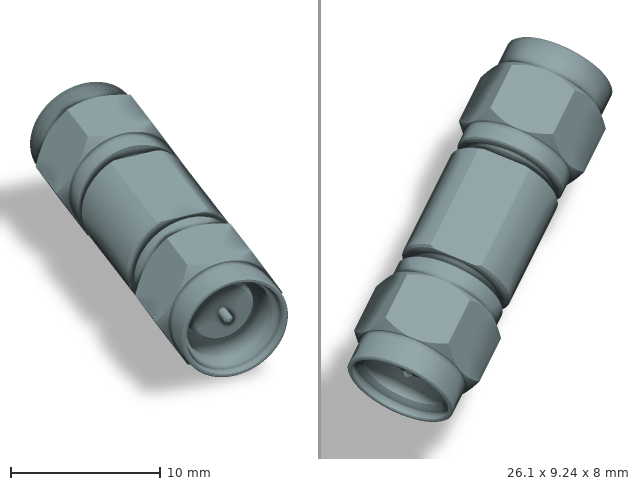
import cadquery as cq
import math


TOTAL_LENGTH = 26.15
HALF_LENGTH = TOTAL_LENGTH / 2

NUT_LENGTH = 8.3
NUT_DIAMETER = 7.77
NUT_EDGE_CHAMFER = 0.1
HEX_ACROSS_FLATS = 8.0
HEX_ACROSS_CORNERS = HEX_ACROSS_FLATS / math.cos(math.pi / 6)
HEX_START = 2.17
HEX_LENGTH = 4.75

MOUTH_RADIUS = 3.53
MOUTH_CHAMFER = 0.08
MOUTH_DEPTH = 0.6
BORE_RADIUS = 3.15
BORE_TAPER_LENGTH = MOUTH_RADIUS - BORE_RADIUS
BORE_DEPTH = 5.23

PLUG_RADIUS = 2.35
PLUG_CHAMFER = 0.24
PLUG_FACE_DEPTH = 2.25
PIN_RADIUS = 0.31
PIN_CHAMFER = 0.18
PIN_TIP_DEPTH = 1.05

BARREL_LENGTH = 8.1
BARREL_RADIUS = 3.97
BARREL_CHAMFER = 0.15
BARREL_ACROSS_FLATS = 7.0
GAP = HALF_LENGTH - NUT_LENGTH - BARREL_LENGTH / 2

NECK_RADIUS = 3.15
COLLAR_RADIUS = 3.22
COLLAR_RIM_LENGTH = 0.18
COLLAR_TAPER_LENGTH = GAP - COLLAR_RIM_LENGTH


def cylinder(start, length, radius):
    """Round bar along +X that begins at x = start."""
    return cq.Workplane("YZ").workplane(offset=start).circle(radius).extrude(length)


def revolve_profile(points):
    """Solid of revolution about the X axis from an (x, radius) outline."""
    return cq.Workplane("XY").polyline(points).close().revolve(360, (0, 0, 0), (1, 0, 0))


def hexagon():
    """Hexagonal grip with corners on +Y and -Y, both ends bevelled at 45 degrees."""
    prism = (
        cq.Workplane("YZ")
        .workplane(offset=HEX_START)
        .polygon(6, HEX_ACROSS_CORNERS)
        .extrude(HEX_LENGTH)
    )
    bevel = (HEX_ACROSS_CORNERS - HEX_ACROSS_FLATS) / 2
    envelope = cylinder(HEX_START, HEX_LENGTH, HEX_ACROSS_CORNERS / 2).edges().chamfer(bevel)
    return prism.intersect(envelope)


def socket():
    """Space inside the nut: chamfered mouth, taper and bore."""
    taper_end = MOUTH_DEPTH + BORE_TAPER_LENGTH
    return revolve_profile([
        (0, 0),
        (0, MOUTH_RADIUS + MOUTH_CHAMFER),
        (MOUTH_CHAMFER, MOUTH_RADIUS),
        (MOUTH_DEPTH, MOUTH_RADIUS),
        (taper_end, BORE_RADIUS),
        (BORE_DEPTH, BORE_RADIUS),
        (BORE_DEPTH, 0),
    ])


def plug_connector():
    """Nut with its plug and pin, the mouth at x = 0 facing -X."""
    sleeve = cylinder(0, NUT_LENGTH, NUT_DIAMETER / 2).edges().chamfer(NUT_EDGE_CHAMFER)
    nut = sleeve.union(hexagon()).cut(socket())
    plug = cylinder(PLUG_FACE_DEPTH, BORE_DEPTH - PLUG_FACE_DEPTH, PLUG_RADIUS)
    plug = plug.faces("<X").chamfer(PLUG_CHAMFER)
    pin = cylinder(PIN_TIP_DEPTH, BORE_DEPTH - PIN_TIP_DEPTH, PIN_RADIUS)
    pin = pin.faces("<X").chamfer(PIN_CHAMFER)
    return nut.union(plug).union(pin)


def barrel():
    """Round barrel with chamfered ends and a wrench flat on +Z and on -Z."""
    bar = cylinder(-BARREL_LENGTH / 2, BARREL_LENGTH, BARREL_RADIUS).edges().chamfer(BARREL_CHAMFER)
    slab = cq.Workplane("XY").box(BARREL_LENGTH, 2 * BARREL_RADIUS, BARREL_ACROSS_FLATS)
    return bar.intersect(slab)


def main_body():
    """The -X plug connector, joined to the barrel by a round neck."""
    connector = plug_connector().translate((-HALF_LENGTH, 0, 0))
    neck = cylinder(NUT_LENGTH - HALF_LENGTH, GAP, NECK_RADIUS)
    return connector.union(neck).union(barrel())


def end_body():
    """The +X plug connector, with a tapered collar that meets the end of the barrel."""
    collar_end = NUT_LENGTH + GAP
    collar = revolve_profile([
        (NUT_LENGTH, 0),
        (NUT_LENGTH, COLLAR_RADIUS),
        (NUT_LENGTH + COLLAR_RIM_LENGTH, COLLAR_RADIUS),
        (collar_end, COLLAR_RADIUS - COLLAR_TAPER_LENGTH),
        (collar_end, 0),
    ])
    connector = plug_connector().union(collar).translate((-HALF_LENGTH, 0, 0))
    return connector.rotate((0, 0, 0), (0, 0, 1), 180)


result = cq.Compound.makeCompound([main_body().val(), end_body().val()])